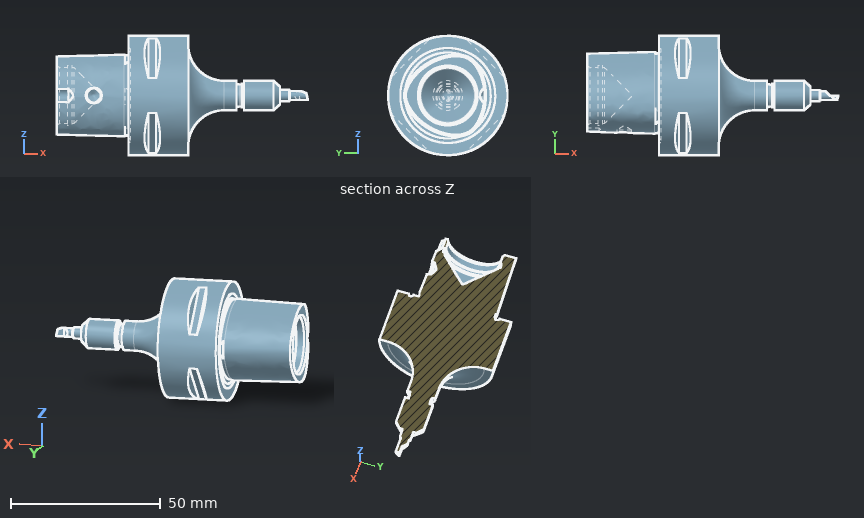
import cadquery as cq
import math


overall_length = 84

flange_radius = 20.0
flange_length = 20.0
ring_groove_inner_radius = 14.4
ring_groove_outer_radius = 15.9

shank_length = 24.0
taper_length = 22.5
lobe_height = 0.9
shank_mean_radius_small = 13.1
shank_mean_radius_large = 13.7
root_mean_radius = 13.4
root_trim_radius = 14.2
root_trim_offset = 0.3
root_cone_length = 1.2
shank_end_x = -shank_length
shoulder_x = shank_end_x + taper_length

bore_mouth_radius = 10.0
bore_radius = 9.4
bore_lip_radius = 9.3
bore_floor_radius = 8.9
bore_groove_radius = 10.0
bore_mouth_depth = 0.9
bore_groove_start = 3.6
bore_groove_end = 5.2
bore_lip_end = 5.8
bore_floor_depth = 6.3
bore_cone_half_angle = math.radians(45)

notch_radius = 2.5
notch_axis_y = -13.3
notch_depth = 3.95
notch_half_angle = math.radians(45)
dimple_x = -11.6
dimple_radius = 2.35
dimple_mouth_radius = 2.7
dimple_chamfer = dimple_mouth_radius - dimple_radius
dimple_surface_y = -12.4
dimple_depth = 1.0
dimple_half_angle = math.radians(59)

slot_count = 4
slot_first_angle = 45
slot_x = 8.0
slot_floor_distance = 17.6
slot_floor_width = 2.5
slot_wall_angle = math.radians(30)

flare_radius = 12.0
holder_radius = 4.95
flare_end_x = flange_length + flare_radius
neck_end_x = 36.1
groove_radius = 3.7
groove_edge_radius = 3.95
groove_taper_end_x = 37.1
ring_start_x = 37.8
ring_end_x = 38.2
ring_radius = 4.0
sleeve_start_x = 38.55
sleeve_chamfer_x = 48.5
sleeve_end_x = 50.65
sleeve_end_radius = 3.0
collar_radius = 1.9
collar_end_x = 53.6
bar_radius = 1.5
bar_start_x = collar_end_x + collar_radius - bar_radius

tip_x = shank_end_x + overall_length
rake_start_x = 55.6
relief_start_x = 57.7
tip_top_x = 59.5
tip_top_z = 0.75
tip_bottom_z = -1.4
tip_clearance_angle = math.radians(15)


def trilobe(mean_radius, x):
    """Constant-width three-lobed outline in the plane at x."""

    def point(t):
        angle = 2 * math.pi * t
        support = mean_radius + lobe_height * math.cos(3 * angle)
        slope = -3 * lobe_height * math.sin(3 * angle)
        y = support * math.cos(angle) - slope * math.sin(angle)
        z = support * math.sin(angle) + slope * math.cos(angle)
        return y, z

    return cq.Workplane("YZ", origin=(x, 0, 0)).parametricCurve(point, N=120)


def revolve_about_x(profile):
    return profile.close().revolve(360, (0, 0, 0), (1, 0, 0))


def drill(radius, depth, point_half_angle):
    """Drill along +Z from the origin: a cylinder and its conical point."""
    point_length = radius / math.tan(point_half_angle)
    return (
        cq.Workplane("XZ")
        .lineTo(radius, 0)
        .lineTo(radius, depth)
        .lineTo(0, depth + point_length)
        .close()
        .revolve(360, (0, 0, 0), (0, 1, 0))
    )


def make_body():
    """Flange, flare, bar holder and round boring bar in one turned profile."""
    arc_shift = flare_radius * math.sqrt(0.5)
    flare_center_r = holder_radius + flare_radius
    return revolve_about_x(
        cq.Workplane("XY")
        .lineTo(0, flange_radius)
        .lineTo(flange_length, flange_radius)
        .lineTo(flange_length, flare_center_r)
        .threePointArc((flare_end_x - arc_shift, flare_center_r - arc_shift), (flare_end_x, holder_radius))
        .lineTo(neck_end_x, holder_radius)
        .lineTo(neck_end_x, groove_edge_radius)
        .lineTo(groove_taper_end_x, groove_radius)
        .lineTo(ring_start_x, groove_radius)
        .lineTo(ring_start_x, ring_radius)
        .lineTo(ring_end_x, ring_radius)
        .lineTo(ring_end_x, groove_radius)
        .lineTo(sleeve_start_x, groove_radius)
        .lineTo(sleeve_start_x, holder_radius)
        .lineTo(sleeve_chamfer_x, holder_radius)
        .lineTo(sleeve_end_x, sleeve_end_radius)
        .lineTo(sleeve_end_x, collar_radius)
        .lineTo(collar_end_x, collar_radius)
        .lineTo(bar_start_x, bar_radius)
        .lineTo(tip_x, bar_radius)
        .lineTo(tip_x, 0)
    )


def make_ring_groove():
    """Half-round groove in the flange face around the shank root."""
    section_radius = (ring_groove_outer_radius - ring_groove_inner_radius) / 2
    center_radius = (ring_groove_outer_radius + ring_groove_inner_radius) / 2
    return cq.Workplane(cq.Solid.makeTorus(center_radius, section_radius, dir=cq.Vector(1, 0, 0)))


def make_shank():
    """Tapered trilobe, narrowing again towards its root, where the lobes are trimmed round."""
    root_x = shoulder_x + root_cone_length
    small_end = trilobe(shank_mean_radius_small, shank_end_x).val()
    large_end = trilobe(shank_mean_radius_large, shoulder_x).val()
    root_end = trilobe(root_mean_radius, root_x).val()
    taper = cq.Workplane(cq.Solid.makeLoft([small_end, large_end], True))
    cone = cq.Workplane(cq.Solid.makeLoft([large_end, root_end], True))
    root = cone.union(trilobe(root_mean_radius, root_x).extrude(-root_x))
    trim_x = shoulder_x + root_trim_offset
    untrimmed = cq.Workplane("YZ", origin=(shoulder_x, 0, 0)).circle(flange_radius).extrude(root_trim_offset)
    trim = cq.Workplane("YZ", origin=(trim_x, 0, 0)).circle(root_trim_radius).extrude(-trim_x)
    return taper.union(root.intersect(untrimmed.union(trim)))


def make_bore():
    cone_end = bore_floor_depth + bore_floor_radius / math.tan(bore_cone_half_angle)
    return revolve_about_x(
        cq.Workplane("XY")
        .lineTo(0, bore_mouth_radius)
        .lineTo(bore_mouth_depth, bore_radius)
        .lineTo(bore_groove_start, bore_radius)
        .lineTo(bore_groove_start, bore_groove_radius)
        .lineTo(bore_groove_end, bore_groove_radius)
        .lineTo(bore_groove_end, bore_lip_radius)
        .lineTo(bore_lip_end, bore_lip_radius)
        .lineTo(bore_floor_depth, bore_floor_radius)
        .lineTo(cone_end, 0)
    ).translate((shank_end_x, 0, 0))


def make_notch():
    """Drilled along X into the edge of the shank's end face."""
    cutter = drill(notch_radius, notch_depth, notch_half_angle).rotate((0, 0, 0), (0, 1, 0), 90)
    return cutter.translate((shank_end_x, notch_axis_y, 0))


def make_dimple():
    """Blind drilled hole with a chamfered mouth, entering along +Y."""
    mouth = cq.Workplane(cq.Solid.makeCone(dimple_mouth_radius, dimple_radius, dimple_chamfer))
    entry = cq.Workplane("XY").circle(dimple_mouth_radius).extrude(-dimple_chamfer)
    cutter = drill(dimple_radius, dimple_depth, dimple_half_angle).union(mouth).union(entry)
    return cutter.rotate((0, 0, 0), (1, 0, 0), -90).translate((dimple_x, dimple_surface_y, 0))


def make_slot(angle):
    """Straight slot with sloping walls, tangent to the rim at the given angle from +Y."""
    height = flange_radius - slot_floor_distance
    half_floor = slot_floor_width / 2
    half_mouth = half_floor + height * math.tan(slot_wall_angle)
    return (
        cq.Workplane("XY")
        .moveTo(slot_x - half_floor, slot_floor_distance)
        .lineTo(slot_x + half_floor, slot_floor_distance)
        .lineTo(slot_x + half_mouth, flange_radius)
        .lineTo(slot_x - half_mouth, flange_radius)
        .close()
        .extrude(flange_radius, both=True)
        .rotate((0, 0, 0), (1, 0, 0), angle)
    )


def make_tip_cutter():
    """Everything to remove from the bar end: rake flat, top relief and end clearance."""
    reach = 2 * bar_radius
    rake = (
        cq.Workplane("XY")
        .moveTo(rake_start_x, bar_radius)
        .lineTo(rake_start_x + bar_radius, 0)
        .lineTo(tip_x, 0)
        .lineTo(tip_x, bar_radius)
        .close()
        .extrude(reach, both=True)
    )
    relief = (
        cq.Workplane("XZ")
        .moveTo(relief_start_x, bar_radius)
        .lineTo(tip_top_x, tip_top_z)
        .lineTo(tip_x, tip_bottom_z)
        .lineTo(tip_x, bar_radius)
        .close()
        .extrude(reach, both=True)
    )
    clearance = (
        cq.Workplane("XY")
        .moveTo(tip_x, 0)
        .lineTo(tip_x - reach * math.tan(tip_clearance_angle), -reach)
        .lineTo(tip_x, -reach)
        .close()
        .extrude(reach, both=True)
    )
    return rake.union(relief).union(clearance)


result = make_body().cut(make_ring_groove()).union(make_shank())
result = result.cut(make_bore()).cut(make_notch()).cut(make_dimple())
for index in range(slot_count):
    result = result.cut(make_slot(slot_first_angle + index * 360 / slot_count))
result = result.cut(make_tip_cutter())